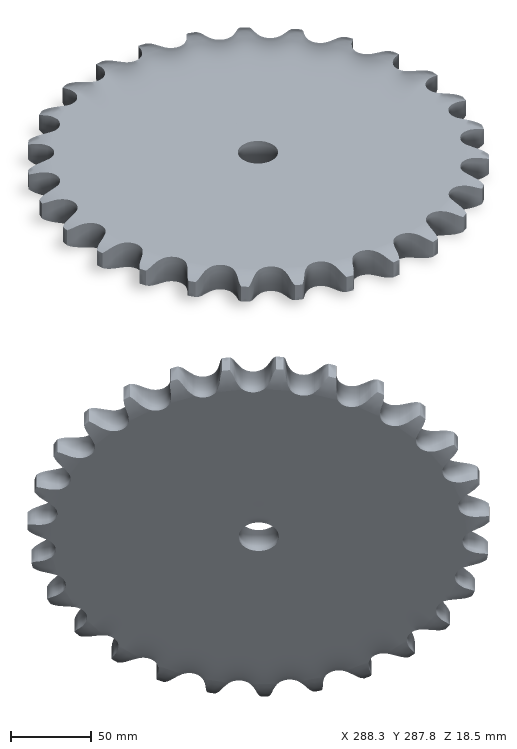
import cadquery as cq
import math

TOOTH_COUNT = 27
THICKNESS = 18.5
BORE_DIAMETER = 25.0
PITCH_RADIUS = 136.7
TIP_DIAMETER = 288.5
FACE_RADIUS = 129.8
TIP_THICKNESS = 11.2

SEAT_RADIUS = 9.5
WORKING_RADIUS = 24.8
STRAIGHT_LENGTH = 2.5
TOPPING_RADIUS = 15.5
SEAT_HALF_ANGLE = 55 - 60 / TOOTH_COUNT
WORKING_ANGLE = 18 - 56 / TOOTH_COUNT

TIP_RADIUS = TIP_DIAMETER / 2
HALF_THICKNESS = THICKNESS / 2
HALF_PITCH_ANGLE = 180 / TOOTH_COUNT
FIRST_TOOTH_ANGLE = -90


def offset(point, distance, angle):
    """Point at a distance from another, in the direction of an angle in degrees."""
    radians = math.radians(angle)
    return (point[0] + distance * math.cos(radians), point[1] + distance * math.sin(radians))


def rotate(point, angle):
    """Point turned about the origin by an angle in degrees."""
    return offset((0, 0), math.hypot(*point), math.degrees(math.atan2(point[1], point[0])) + angle)


def flank_points():
    """Upper flank of a tooth that points along +X, from the gap centre to the tooth's sharp peak."""
    seat_centre = offset((0, 0), PITCH_RADIUS, HALF_PITCH_ANGLE)
    root_direction = HALF_PITCH_ANGLE + 180
    root = offset(seat_centre, SEAT_RADIUS, root_direction)
    seat_middle = offset(seat_centre, SEAT_RADIUS, root_direction + SEAT_HALF_ANGLE / 2)

    seat_normal = root_direction + SEAT_HALF_ANGLE
    seat_end = offset(seat_centre, SEAT_RADIUS, seat_normal)
    working_centre = offset(seat_centre, SEAT_RADIUS - WORKING_RADIUS, seat_normal)
    working_middle = offset(working_centre, WORKING_RADIUS, seat_normal + WORKING_ANGLE / 2)
    flank_normal = seat_normal + WORKING_ANGLE
    working_end = offset(working_centre, WORKING_RADIUS, flank_normal)

    straight_end = offset(working_end, STRAIGHT_LENGTH, flank_normal + 90)
    topping_centre = offset(straight_end, TOPPING_RADIUS, flank_normal)
    topping_start_angle = flank_normal - 180
    peak_angle = math.degrees(math.asin(-topping_centre[1] / TOPPING_RADIUS))
    topping_middle = offset(topping_centre, TOPPING_RADIUS, (topping_start_angle + peak_angle) / 2)
    peak = offset(topping_centre, TOPPING_RADIUS, peak_angle)
    return root, seat_middle, seat_end, working_middle, working_end, straight_end, topping_middle, peak


def tooth_prism():
    """Toothed plate with pointed teeth and no bevels."""
    flank = flank_points()
    mirrored = [(x, -y) for x, y in flank]
    first_root = rotate(mirrored[0], FIRST_TOOTH_ANGLE)
    outline = cq.Workplane("XY", origin=(0, 0, -HALF_THICKNESS)).moveTo(*first_root)
    for tooth in range(TOOTH_COUNT):
        angle = FIRST_TOOTH_ANGLE + tooth * 2 * HALF_PITCH_ANGLE
        _, seat_mid, seat_end, work_mid, work_end, straight_end, top_mid, peak = (
            rotate(point, angle) for point in mirrored
        )
        outline = outline.threePointArc(seat_mid, seat_end).threePointArc(work_mid, work_end)
        outline = outline.lineTo(*straight_end).threePointArc(top_mid, peak)

        root, seat_mid, seat_end, work_mid, work_end, straight_end, top_mid, _ = (
            rotate(point, angle) for point in flank
        )
        outline = outline.threePointArc(top_mid, straight_end).lineTo(*work_end)
        outline = outline.threePointArc(work_mid, seat_end).threePointArc(seat_mid, root)
    return outline.close().extrude(THICKNESS)


def turned_blank():
    """Bored disc whose rim is rounded off on both sides, tangent to the flat faces."""
    bore_radius = BORE_DIAMETER / 2
    bevel_width = TIP_RADIUS - FACE_RADIUS
    bevel_depth = (THICKNESS - TIP_THICKNESS) / 2
    bevel_radius = (bevel_width**2 + bevel_depth**2) / (2 * bevel_depth)
    half_sweep = math.asin(bevel_width / bevel_radius) / 2
    middle_radius = FACE_RADIUS + bevel_radius * math.sin(half_sweep)
    middle_height = HALF_THICKNESS - bevel_radius * (1 - math.cos(half_sweep))
    return (
        cq.Workplane("XZ")
        .moveTo(bore_radius, -HALF_THICKNESS)
        .lineTo(FACE_RADIUS, -HALF_THICKNESS)
        .threePointArc((middle_radius, -middle_height), (TIP_RADIUS, -TIP_THICKNESS / 2))
        .lineTo(TIP_RADIUS, TIP_THICKNESS / 2)
        .threePointArc((middle_radius, middle_height), (FACE_RADIUS, HALF_THICKNESS))
        .lineTo(bore_radius, HALF_THICKNESS)
        .close()
        .revolve(360, (0, 0, 0), (0, 1, 0))
    )


result = tooth_prism().intersect(turned_blank())